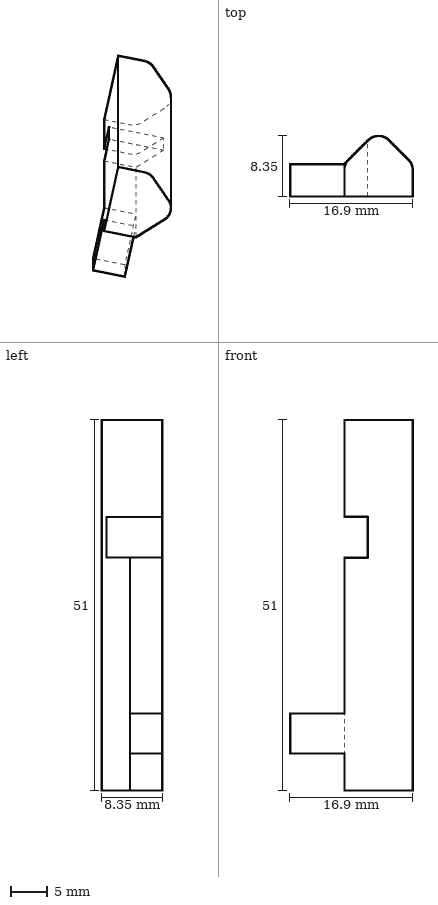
import cadquery as cq

height = 51.0
total_width = 16.9
depth = 8.35

bar_width = 9.45
edge_radius = 2.0
half_width = bar_width / 2
ridge_y = depth + edge_radius * (2 ** 0.5 - 1)
shoulder_y = ridge_y - half_width

tab_length = total_width - bar_width
tab_bottom = 5.1
tab_height = 5.5

notch_depth = 3.2
notch_bottom = 32.05
notch_height = 5.6
notch_top = notch_bottom + notch_height


def make_bar():
    """Upright bar with its ridge, right shoulder and upper left shoulder rounded."""
    bar = (
        cq.Workplane("XY")
        .polyline([
            (0, 0),
            (bar_width, 0),
            (bar_width, shoulder_y),
            (half_width, ridge_y),
            (0, shoulder_y),
        ])
        .close()
        .extrude(height)
    )
    ridge_point = (half_width, ridge_y, height / 2)
    shoulder_point = (bar_width, shoulder_y, height / 2)
    bar = bar.edges(cq.selectors.NearestToPointSelector(ridge_point)).fillet(edge_radius)
    bar = bar.edges(cq.selectors.NearestToPointSelector(shoulder_point)).fillet(edge_radius)

    notch = cq.Workplane("XY").box(notch_depth, depth, notch_height, centered=False)
    bar = bar.cut(notch.translate((0, 0, notch_bottom)))

    upper_point = (0, shoulder_y, (notch_top + height) / 2)
    return bar.edges(cq.selectors.NearestToPointSelector(upper_point)).fillet(edge_radius)


def make_tab():
    """Rectangular tab reaching out from the bar in -X."""
    tab = cq.Workplane("XY").box(tab_length, shoulder_y, tab_height, centered=False)
    return tab.translate((-tab_length, 0, tab_bottom))


result = make_bar().union(make_tab())